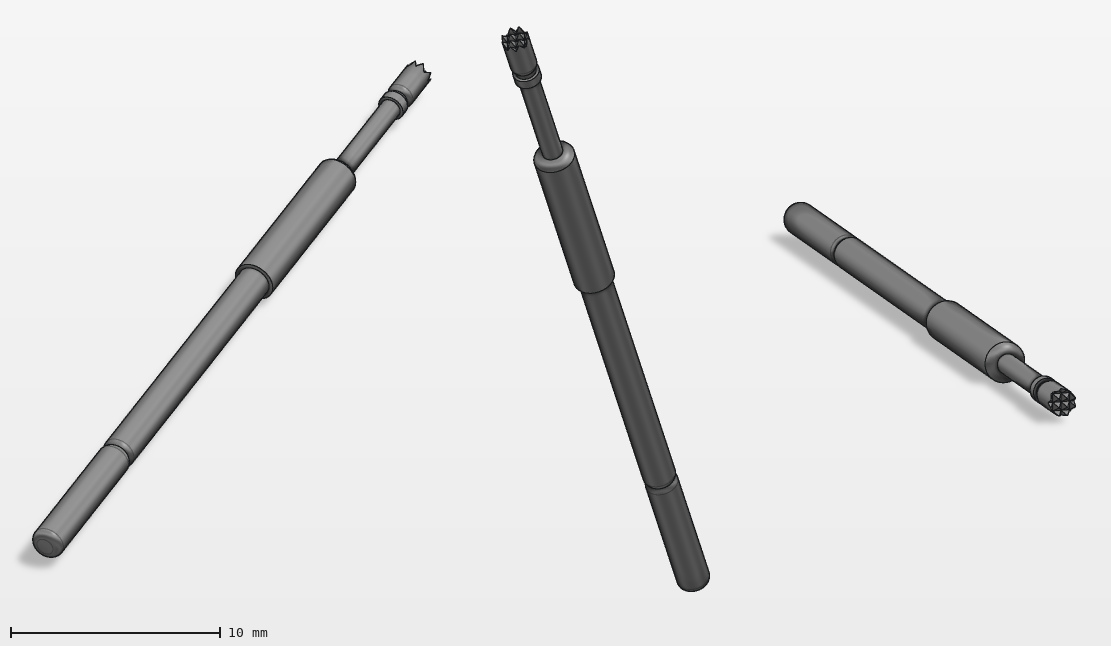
import cadquery as cq

TOTAL_LENGTH = 39.3

TUBE_RADIUS = 0.8
SLEEVE_RADIUS = 1.0
SHAFT_RADIUS = 0.5
HEAD_RADIUS = 0.65
NECK_RADIUS = 0.5

TAIL_ROUND = 0.37
GROOVE_Y = 7.49
GROOVE_DEPTH = 0.12
GROOVE_HALF_WIDTH = 0.29

SLEEVE_START_Y = 21.95
SLEEVE_LENGTH = 8.7
NOSE_LENGTH = 0.35

HEAD_LENGTH = 1.95
HEAD_ROUND_LENGTH = 0.3
COLLAR_START = 2.5
COLLAR_LENGTH = 0.5

TEETH_ACROSS = 4
TOOTH_PITCH = 0.42
TOOTH_DEPTH = 0.35


def cylinder_along_y(radius, start, end):
    """Cylinder on the Y axis between two Y positions."""
    return cq.Workplane("XZ", origin=(0, start, 0)).circle(radius).extrude(start - end)


def tangent_radius(length, drop):
    """Radius of an arc that leaves a straight side tangentially and falls by drop over length."""
    return (length**2 + drop**2) / (2 * drop)


def tail_tube():
    """Tube with a rounded tail end and a rolled groove."""
    tube = cylinder_along_y(TUBE_RADIUS, 0, SLEEVE_START_Y)
    tube = tube.faces("<Y").edges().fillet(TAIL_ROUND)
    lower_lip = GROOVE_Y - GROOVE_HALF_WIDTH
    upper_lip = GROOVE_Y + GROOVE_HALF_WIDTH
    lip_radius = tangent_radius(GROOVE_HALF_WIDTH, GROOVE_DEPTH)
    groove_bottom = (TUBE_RADIUS - GROOVE_DEPTH, GROOVE_Y)
    groove = (
        cq.Workplane("XY")
        .moveTo(TUBE_RADIUS, lower_lip)
        .radiusArc(groove_bottom, -lip_radius)
        .radiusArc((TUBE_RADIUS, upper_lip), -lip_radius)
        .close()
        .revolve(360, (0, 0, 0), (0, 1, 0))
    )
    return tube.cut(groove)


def sleeve():
    """Thicker sleeve whose crown-side end is domed, levelling out where it meets the shaft."""
    sleeve_end = SLEEVE_START_Y + SLEEVE_LENGTH
    nose_end = sleeve_end + NOSE_LENGTH
    dome_radius = tangent_radius(SLEEVE_RADIUS - SHAFT_RADIUS, NOSE_LENGTH)
    return (
        cq.Workplane("XY")
        .moveTo(0, SLEEVE_START_Y)
        .lineTo(SLEEVE_RADIUS, SLEEVE_START_Y)
        .lineTo(SLEEVE_RADIUS, sleeve_end)
        .radiusArc((SHAFT_RADIUS, nose_end), -dome_radius)
        .lineTo(0, nose_end)
        .close()
        .revolve(360, (0, 0, 0), (0, 1, 0))
    )


def plunger():
    """Shaft, collar, neck and head, turned as one profile."""
    head_back = TOTAL_LENGTH - HEAD_LENGTH
    collar_front = TOTAL_LENGTH - COLLAR_START
    collar_back = collar_front - COLLAR_LENGTH
    head_round = tangent_radius(HEAD_ROUND_LENGTH, HEAD_RADIUS - NECK_RADIUS)
    return (
        cq.Workplane("XY")
        .moveTo(0, SLEEVE_START_Y)
        .lineTo(SHAFT_RADIUS, SLEEVE_START_Y)
        .lineTo(SHAFT_RADIUS, collar_back)
        .lineTo(HEAD_RADIUS, collar_back)
        .lineTo(HEAD_RADIUS, collar_front)
        .lineTo(NECK_RADIUS, collar_front)
        .lineTo(NECK_RADIUS, head_back - HEAD_ROUND_LENGTH)
        .radiusArc((HEAD_RADIUS, head_back), -head_round)
        .lineTo(HEAD_RADIUS, TOTAL_LENGTH)
        .lineTo(0, TOTAL_LENGTH)
        .close()
        .revolve(360, (0, 0, 0), (0, 1, 0))
    )


def cut_crown(body):
    """Crossed V grooves that leave a grid of pointed teeth on the tip."""
    for plane in ("XY", "ZY"):
        for index in range(TEETH_ACROSS - 1):
            centre = (index - (TEETH_ACROSS - 2) / 2) * TOOTH_PITCH
            groove = (
                cq.Workplane(plane)
                .moveTo(centre, TOTAL_LENGTH - TOOTH_DEPTH)
                .lineTo(centre + TOOTH_PITCH / 2, TOTAL_LENGTH)
                .lineTo(centre - TOOTH_PITCH / 2, TOTAL_LENGTH)
                .close()
                .extrude(HEAD_RADIUS, both=True)
            )
            body = body.cut(groove)
    return body


result = cut_crown(tail_tube().union(sleeve()).union(plunger()))